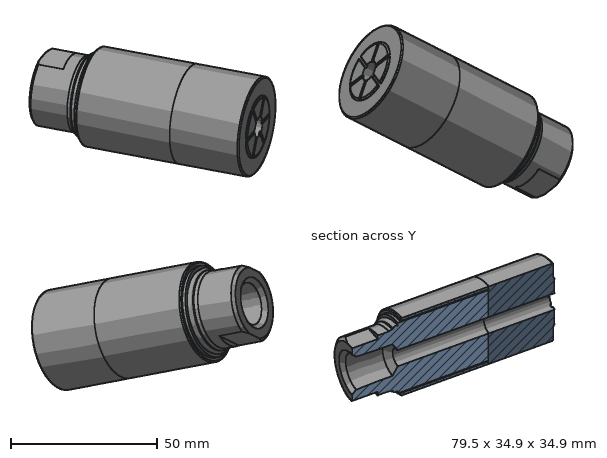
import cadquery as cq
import math

total_length = 79.5
neck_end = 14.4
cone_end = 15.65
collar_start = 18.0
sleeve_start = 19.0
seam = 53.65
boss_height = 0.5
cap_end = total_length - boss_height

outer_diameter = 34.9
edge_chamfer = 0.5
neck_diameter = 26.95
neck_chamfer_length = 1.0
neck_chamfer_depth = 1.2
land_diameter = 28.0
core_diameter = 31.7
sleeve_bore_diameter = 32.0
boss_diameter = 21.85
boss_top_diameter = 20.35
boss_cone_height = 0.3

bead_radius = 1.1
bead_center = 17.2
bead_crest_diameter = 29.9

flat_length = 10.1
flat_spacing = 23.8

passage_diameter = 7.1
mouth_diameter = 17.9
taper_start_diameter = 14.6
taper_end = 10.5
inner_bore_diameter = 13.9
inner_bore_end = 15.9
drill_point_angle = 118.0

slot_count = 3
slot_width = 1.0


def revolve_about_x(outline):
    """Turn a closed (x, radius) outline drawn in the XY plane about the X axis."""
    return outline.close().revolve(360, (0, 0, 0), (1, 0, 0))


def cut_wrench_flats(body):
    flat_depth = neck_diameter / 2
    for side in (1, -1):
        block = cq.Workplane("XY").box(
            flat_length, neck_diameter, flat_depth, centered=(False, True, True)
        )
        body = body.cut(block.translate((0, 0, side * (flat_spacing + flat_depth) / 2)))
    return body


def make_core():
    """Inlet neck, bead and collar, continuing as a plug inside the sleeve up to the seam."""
    neck_radius = neck_diameter / 2
    land_radius = land_diameter / 2
    core_radius = core_diameter / 2
    passage_radius = passage_diameter / 2
    mouth_radius = mouth_diameter / 2
    taper_start_radius = taper_start_diameter / 2
    inner_bore_radius = inner_bore_diameter / 2

    bead_crest_radius = bead_crest_diameter / 2
    bead_axis_radius = bead_crest_radius - bead_radius
    bead_start = bead_center - math.sqrt(bead_radius**2 - (land_radius - bead_axis_radius) ** 2)
    bead_end_radius = bead_axis_radius + math.sqrt(bead_radius**2 - (collar_start - bead_center) ** 2)

    mouth_depth = mouth_radius - taper_start_radius
    drill_point_slope = math.tan(math.radians(drill_point_angle / 2))
    drill_point_end = inner_bore_end + (inner_bore_radius - passage_radius) / drill_point_slope

    core = revolve_about_x(
        cq.Workplane("XY")
        .moveTo(0, mouth_radius)
        .lineTo(0, neck_radius - neck_chamfer_depth)
        .lineTo(neck_chamfer_length, neck_radius)
        .lineTo(neck_end, neck_radius)
        .lineTo(cone_end, land_radius)
        .lineTo(bead_start, land_radius)
        .threePointArc((bead_center, bead_crest_radius), (collar_start, bead_end_radius))
        .lineTo(collar_start, core_radius)
        .lineTo(seam, core_radius)
        .lineTo(seam, passage_radius)
        .lineTo(drill_point_end, passage_radius)
        .lineTo(inner_bore_end, inner_bore_radius)
        .lineTo(taper_end, inner_bore_radius)
        .lineTo(mouth_depth, taper_start_radius)
    )
    return cut_wrench_flats(core)


def make_sleeve():
    """Tube around the core, with its front rim chamfered."""
    outer_radius = outer_diameter / 2
    bore_radius = sleeve_bore_diameter / 2
    return revolve_about_x(
        cq.Workplane("XY")
        .moveTo(sleeve_start, bore_radius)
        .lineTo(sleeve_start, outer_radius - edge_chamfer)
        .lineTo(sleeve_start + edge_chamfer, outer_radius)
        .lineTo(seam, outer_radius)
        .lineTo(seam, bore_radius)
    )


def cut_boss_slots(body):
    for index in range(slot_count):
        slot = cq.Workplane("XY").box(
            boss_height, boss_diameter, slot_width, centered=(False, True, True)
        )
        slot = slot.rotate((0, 0, 0), (1, 0, 0), index * 180 / slot_count)
        body = body.cut(slot.translate((cap_end, 0, 0)))
    return body


def make_end_cap():
    """Rear cap with a low tapered boss split by slots through the axis."""
    outer_radius = outer_diameter / 2
    boss_radius = boss_diameter / 2
    passage_radius = passage_diameter / 2
    cap = revolve_about_x(
        cq.Workplane("XY")
        .moveTo(seam, passage_radius)
        .lineTo(seam, outer_radius)
        .lineTo(cap_end - edge_chamfer, outer_radius)
        .lineTo(cap_end, outer_radius - edge_chamfer)
        .lineTo(cap_end, boss_radius)
        .lineTo(total_length - boss_cone_height, boss_radius)
        .lineTo(total_length, boss_top_diameter / 2)
        .lineTo(total_length, passage_radius)
    )
    return cut_boss_slots(cap)


core = make_core()
sleeve = make_sleeve()
end_cap = make_end_cap()

result = cq.Compound.makeCompound([core.val(), sleeve.val(), end_cap.val()])